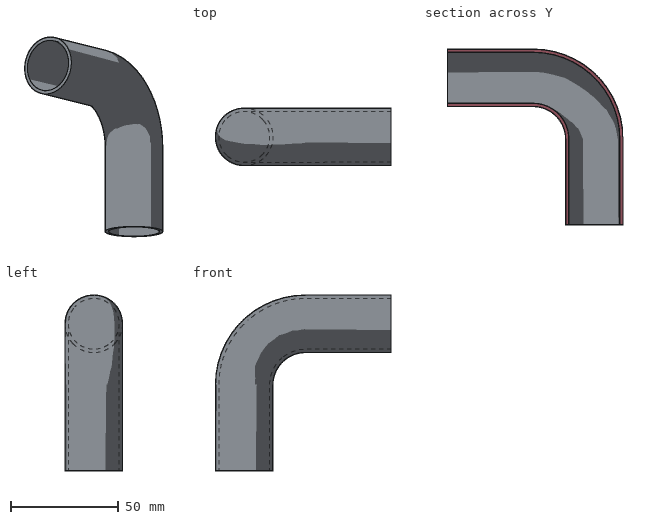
import cadquery as cq

overall_size = 81.95
outer_diameter = 26.9
bore_diameter = 23.7
leg_length = 40.0

bend_radius = overall_size - leg_length - outer_diameter / 2


def ring(plane):
    """Cross-section of the pipe wall on the given plane."""
    return cq.Workplane(plane).circle(outer_diameter / 2).circle(bore_diameter / 2)


upright_leg = ring("XY").extrude(leg_length)

bend_start = cq.Plane(origin=(0, 0, leg_length), xDir=(1, 0, 0), normal=(0, 0, 1))
bend = ring(bend_start).revolve(90, (bend_radius, 0, 0), (bend_radius, 1, 0))

level_start = cq.Plane(
    origin=(bend_radius, 0, leg_length + bend_radius),
    xDir=(0, 1, 0),
    normal=(1, 0, 0),
)
level_leg = ring(level_start).extrude(leg_length)

result = upright_leg.union(bend).union(level_leg)